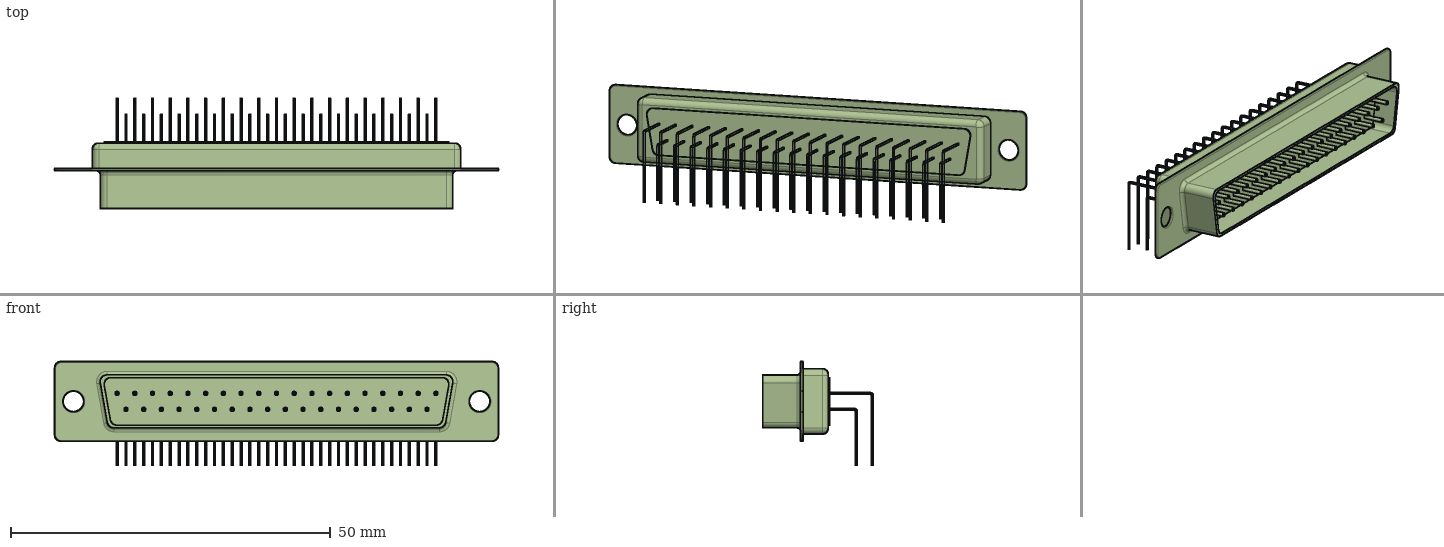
import cadquery as cq
import math


flange_length = 69.4
flange_height = 12.5
flange_thickness = 0.4
flange_corner_radius = 1.05
flange_edge_fillet = 0.15
mounting_hole_spacing = 63.5
mounting_hole_diameter = 3.2

shell_length = 5.9
shell_top_width = 55.5
shell_height = 8.25
shell_root_fillet = 0.6
cavity_top_width = 54.3
cavity_height = 7.4
side_slope = math.radians(10)
corner_radius = 1.05

housing_width = 57.6
housing_height = 10.3
housing_depth = 3.95
housing_edge_fillet = 1.0
insulator_protrusion = 0.2
insulator_recess = 3.75

upper_pin_count = 19
lower_pin_count = upper_pin_count - 1
upper_row_span = 49.8
pin_pitch = upper_row_span / (upper_pin_count - 1)
row_pitch = 2.5
pin_diameter = 0.6
pin_tip_setback = 0.4
pin_tip_chamfer = 0.15
tail_diameter = 0.3
tail_bend_radius = 0.35
total_depth = 17.3
total_height = 16.25

shell_front = -shell_length
insulator_front = shell_front + insulator_recess
housing_rear = flange_thickness + housing_depth
insulator_rear = housing_rear + insulator_protrusion
pin_tip = shell_front + pin_tip_setback
tail_bottom = flange_height / 2 - total_height
upper_tail_y = shell_front + total_depth - tail_diameter / 2
lower_tail_y = upper_tail_y - row_pitch


def facing_front(x, y, z):
    """Workplane at a point; its normal points to -Y, so positive extrusions run forwards."""
    return cq.Workplane("XZ", origin=(x, y, z))


def d_block(top_width, height, y_front, y_rear):
    """D-shaped prism with rounded corners between two Y planes."""
    top = top_width / 2
    bottom = top - height * math.tan(side_slope)
    outline = [(-top, height / 2), (top, height / 2), (bottom, -height / 2), (-bottom, -height / 2)]
    block = facing_front(0, y_rear, 0).polyline(outline).close().extrude(y_rear - y_front)
    return block.edges("|Y").fillet(corner_radius)


def make_flange():
    """Plate with two mounting holes and softened edges on both faces."""
    plate = facing_front(0, flange_thickness, 0).rect(flange_length, flange_height).extrude(flange_thickness)
    plate = plate.edges("|Y").fillet(flange_corner_radius)
    hole_x = mounting_hole_spacing / 2
    holes = facing_front(0, flange_thickness, 0).pushPoints([(-hole_x, 0), (hole_x, 0)])
    plate = plate.cut(holes.circle(mounting_hole_diameter / 2).extrude(flange_thickness))
    return plate.faces("<Y or >Y").edges().fillet(flange_edge_fillet)


def add_shell(flange):
    """Adds the solid shell to the flange and fillets the corner between them."""
    body = flange.union(d_block(shell_top_width, shell_height, shell_front, flange_thickness))
    x_limit = shell_top_width / 2
    y_limit = flange_thickness / 10
    z_limit = (shell_height + flange_height) / 4
    around_root = cq.selectors.BoxSelector((-x_limit, -y_limit, -z_limit), (x_limit, y_limit, z_limit))
    return body.edges(around_root).fillet(shell_root_fillet)


def make_housing():
    """Rounded box behind the flange."""
    housing = facing_front(0, housing_rear, 0).rect(housing_width, housing_height).extrude(housing_depth)
    housing = housing.edges("|Y").fillet(corner_radius)
    return housing.faces(">Y").edges().fillet(housing_edge_fillet)


def make_pin(x, z, tail_y):
    """Straight contact in the shell with a thinner tail that bends down behind the housing."""
    contact = facing_front(x, housing_rear, z).circle(pin_diameter / 2).extrude(housing_rear - pin_tip)
    contact = contact.faces("<Y").edges().chamfer(pin_tip_chamfer)
    tail_path = (
        cq.Workplane("YZ", origin=(x, 0, 0))
        .moveTo(housing_rear, z)
        .lineTo(tail_y - tail_bend_radius, z)
        .radiusArc((tail_y, z - tail_bend_radius), tail_bend_radius)
        .lineTo(tail_y, tail_bottom)
    )
    tail = facing_front(x, housing_rear, z).circle(tail_diameter / 2).sweep(tail_path)
    return contact.union(tail).val()


def pin_row(count, z, tail_y):
    """Row of evenly spaced pins centred on x = 0."""
    first_x = -(count - 1) * pin_pitch / 2
    return [make_pin(first_x + i * pin_pitch, z, tail_y) for i in range(count)]


cavity = d_block(cavity_top_width, cavity_height, shell_front, insulator_front)
insulator = d_block(cavity_top_width, cavity_height, insulator_front, insulator_rear)
body = add_shell(make_flange()).union(make_housing()).cut(cavity).union(insulator)

upper_pins = pin_row(upper_pin_count, row_pitch / 2, upper_tail_y)
lower_pins = pin_row(lower_pin_count, -row_pitch / 2, lower_tail_y)
result = cq.Workplane(body.val().fuse(*upper_pins, *lower_pins))